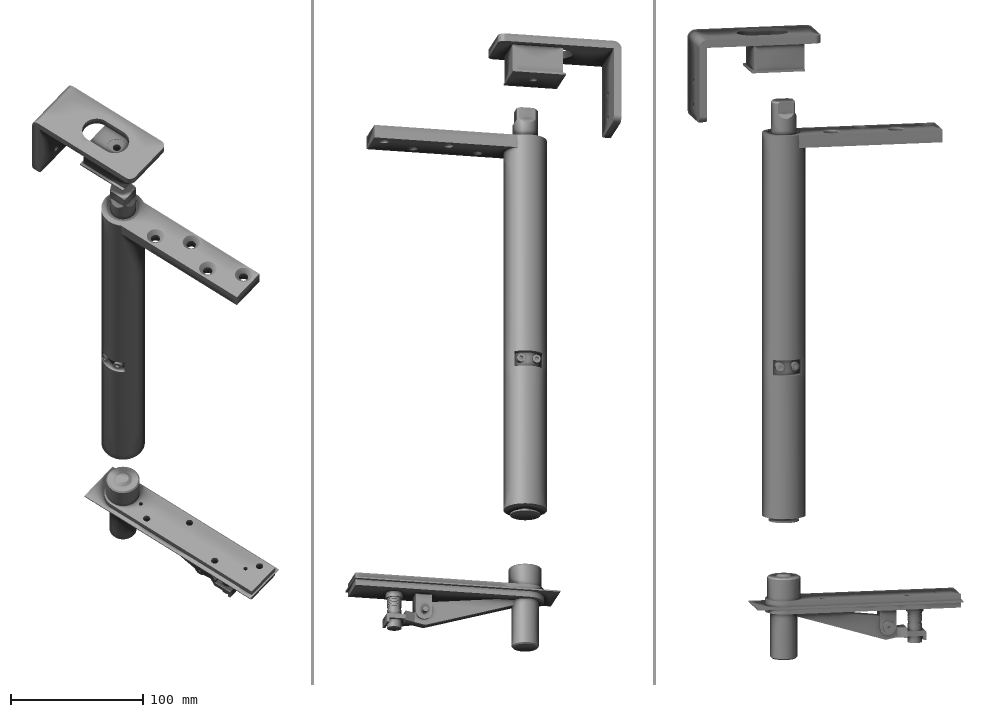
import cadquery as cq


TOP_Z = 482.2
BRACKET_LEFT = -69.8
BRACKET_LENGTH = 94.5
BRACKET_WIDTH = 44.0
BRACKET_DROP = 64.0
BRACKET_THICKNESS = 6.0
BRACKET_CORNER = 5.0
BEND_RADIUS = 6.0
SLOT_WIDTH = 22.0
SLOT_LEFT = -36.2
SLOT_RIGHT = 3.0
BRACKET_HOLE_DIAMETER = 4.5
BRACKET_HOLE_DROPS = (35.5, 54.5)

BLOCK_LEFT = -26.0
BLOCK_RIGHT = 13.0
BLOCK_WIDTH = 30.0
BLOCK_HEIGHT = 22.0
BLOCK_LIP_HEIGHT = 1.5
BLOCK_LIP_OVERHANG = 2.0
BLOCK_SCREW_X = -6.0
BLOCK_SPOTFACE_DIAMETER = 16.0
BLOCK_SPOTFACE_DEPTH = 0.2
BLOCK_HOLE_DIAMETER = 6.1

TUBE_DIAMETER = 33.0
TUBE_BOTTOM = 109.8
TUBE_TOP = 404.7
NECK_DIAMETER = 10.0
NECK_LENGTH = 3.0
DISC_DIAMETER = 23.0
DISC_THICKNESS = 1.0
ARM_END = 119.5
ARM_WIDTH = 28.0
ARM_THICKNESS = 10.0
ARM_HOLE_START = 35.5
ARM_HOLE_PITCH = 25.0
ARM_HOLE_COUNT = 4
ARM_HOLE_OFFSET = 6.0
ARM_HOLE_DIAMETER = 7.0
ARM_COUNTERSINK_DIAMETER = 13.0
COUNTERSINK_ANGLE = 90.0
WINDOW_Z = 226.0
WINDOW_WIDTH = 22.0
WINDOW_HEIGHT = 12.0
WINDOW_FLOOR_DIAMETER = 24.0
VALVE_DIAMETER = 6.17
VALVE_SOCKET_DIAMETER = 3.24
VALVE_SOCKET_DEPTH = 2.0
VALVE_OFFSET = 6.0
VALVE_Z = WINDOW_Z + 0.8
VALVE_FRONT_REACH = 16.0
VALVE_REAR_REACH = 14.0

SPINDLE_DIAMETER = 19.5
SPINDLE_TOP = 429.2
SPINDLE_SEAT_DEPTH = 20.0
SEAT_RIM_DIAMETER = 25.0
SEAT_RIM_DEPTH = 1.0
FLAT_HEIGHT = 9.0
FLAT_RUNOUT = 3.5
FLAT_DISTANCE = 7.5
SPINDLE_CHAMFER = 1.0

PIN_DIAMETER = 20.5
PIN_CHAMFER = 1.0
HEAD_DIAMETER = 25.0
HEAD_TOP = 63.2
HEAD_CHAMFER = 1.0
CONE_BASE_DIAMETER = 13.0
CONE_TOP_DIAMETER = 8.38
CONE_HEIGHT = 1.5
PLATE_BOTTOM = 36.0
PLATE_TOP = 46.0
PLATE_END = 134.0
PLATE_WIDTH = 28.5
COVER_LEFT = -23.5
COVER_RIGHT = 135.2
COVER_WIDTH = 35.0
COVER_THICKNESS = 1.0
PLATE_HOLE_DIAMETER = 5.5
PLATE_HOLE_DEPTH = 8.0
PLATE_HOLES = ((29.0, -8.3), (57.0, 8.3), (94.0, -8.3), (124.0, 8.3))
SMALL_HOLE_DIAMETER = 3.24
SMALL_HOLES_X = (17.0, 117.0)

LEVER_THICKNESS = 8.0
LEVER_PIVOT_X = 79.4
LEVER_PIVOT_Z = 21.7
LEVER_ROOT_X = 22.0
LEVER_ROOT_Z = 35.0
LEVER_SHOULDER_X = 72.8
LEVER_SHOULDER_Z = 30.0
LEVER_LOWEST_X = 78.0
LEVER_LOWEST_Z = 11.4
TAIL_START = 86.5
TAIL_END = 94.0
TAIL_TOP = 20.5
TAIL_BOTTOM = 13.0
EAR_WIDTH = 12.5
EAR_THICKNESS = 2.0
EAR_BEND_RADIUS = 2.5
RIVET_HEAD_DIAMETER = 8.38
RIVET_HEAD_REACH = 8.5
RIVET_SHANK_DIAMETER = 4.13
RIVET_SHANK_REACH = 11.8
RIVET_BORE_DIAMETER = 2.46
RIVET_BORE_DEPTH = 2.0
SCREW_X = 101.2
SCREW_DIAMETER = 11.0
SCREW_BOTTOM = 8.2
SCREW_GROOVE_DIAMETER = 10.0
SCREW_COLLAR_TOP = 22.5
THREAD_BOTTOM = 25.0
THREAD_TOP = 32.0
THREAD_PITCH = 1.4
THREAD_COUNT = 5
SCREW_HEAD_DIAMETER = 13.0
FORK_WIDTH = 16.0
FORK_BOTTOM = 14.0
FORK_TOP = 17.5
FORK_END = 108.4
FORK_LIP_THICKNESS = 2.0
FORK_LIP_BOTTOM = 10.8


def box_between(x0, x1, y0, y1, z0, z1):
    return cq.Workplane("XY").box(x1 - x0, y1 - y0, z1 - z0, centered=False).translate((x0, y0, z0))


def upright_cylinder(diameter, z0, z1, x=0.0, y=0.0):
    return cq.Workplane("XY").circle(diameter / 2).extrude(z1 - z0).translate((x, y, z0))


def make_bracket():
    right = BRACKET_LEFT + BRACKET_LENGTH
    bottom = TOP_Z - BRACKET_DROP
    half = BRACKET_WIDTH / 2
    top_leg = box_between(BRACKET_LEFT, right, -half, half, TOP_Z - BRACKET_THICKNESS, TOP_Z)
    top_leg = top_leg.edges("|Z and >X").fillet(BRACKET_CORNER)
    side_leg = box_between(BRACKET_LEFT, BRACKET_LEFT + BRACKET_THICKNESS, -half, half, bottom, TOP_Z)
    side_leg = side_leg.edges("|X and <Z").fillet(BRACKET_CORNER)
    bracket = top_leg.union(side_leg).edges("|Y and <X and >Z").fillet(BEND_RADIUS)

    slot_center = (SLOT_LEFT + SLOT_RIGHT) / 2
    slot = (
        cq.Workplane("XY", origin=(slot_center, 0, TOP_Z - BRACKET_THICKNESS))
        .slot2D(SLOT_RIGHT - SLOT_LEFT, SLOT_WIDTH)
        .extrude(BRACKET_THICKNESS)
    )
    bracket = bracket.cut(slot)
    for drop in BRACKET_HOLE_DROPS:
        hole = (
            cq.Workplane("YZ", origin=(BRACKET_LEFT, 0, TOP_Z - drop))
            .circle(BRACKET_HOLE_DIAMETER / 2)
            .extrude(BRACKET_THICKNESS)
        )
        bracket = bracket.cut(hole)
    return bracket


def make_block():
    top = TOP_Z - BRACKET_THICKNESS
    bottom = top - BLOCK_HEIGHT
    half = BLOCK_WIDTH / 2
    lip_half = half + BLOCK_LIP_OVERHANG
    block = box_between(BLOCK_LEFT, BLOCK_RIGHT, -half, half, bottom, top)
    lip = box_between(
        BLOCK_LEFT - BLOCK_LIP_OVERHANG, BLOCK_RIGHT, -lip_half, lip_half, bottom, bottom + BLOCK_LIP_HEIGHT
    )
    spotface = upright_cylinder(BLOCK_SPOTFACE_DIAMETER, top - BLOCK_SPOTFACE_DEPTH, top, BLOCK_SCREW_X)
    hole = upright_cylinder(BLOCK_HOLE_DIAMETER, bottom, top, BLOCK_SCREW_X)
    return block.union(lip).cut(spotface).cut(hole)


def make_window(side):
    """Cutter for the window on one side (-1 front, +1 rear), with its two valves left standing."""
    window = cq.Workplane("XY").box(WINDOW_WIDTH, TUBE_DIAMETER, WINDOW_HEIGHT)
    window = window.translate((0, side * TUBE_DIAMETER / 2, WINDOW_Z))
    core = upright_cylinder(WINDOW_FLOOR_DIAMETER, WINDOW_Z - WINDOW_HEIGHT, WINDOW_Z + WINDOW_HEIGHT)
    window = window.cut(core)
    reach = VALVE_FRONT_REACH if side < 0 else VALVE_REAR_REACH
    for x in (-VALVE_OFFSET, VALVE_OFFSET):
        valve = cq.Workplane("XZ", origin=(x, 0, VALVE_Z)).circle(VALVE_DIAMETER / 2).extrude(-side * reach)
        socket = (
            cq.Workplane("XZ", origin=(x, side * reach, VALVE_Z))
            .circle(VALVE_SOCKET_DIAMETER / 2)
            .extrude(side * VALVE_SOCKET_DEPTH)
        )
        window = window.cut(valve.cut(socket))
    return window


def make_tube():
    tube = upright_cylinder(TUBE_DIAMETER, TUBE_BOTTOM, TUBE_TOP)
    arm = box_between(0, ARM_END, -ARM_WIDTH / 2, ARM_WIDTH / 2, TUBE_TOP - ARM_THICKNESS, TUBE_TOP)
    disc_top = TUBE_BOTTOM - NECK_LENGTH
    neck = upright_cylinder(NECK_DIAMETER, disc_top, TUBE_BOTTOM)
    disc = upright_cylinder(DISC_DIAMETER, disc_top - DISC_THICKNESS, disc_top)
    tube = tube.union(arm).union(neck).union(disc)

    arm_holes = [
        (ARM_HOLE_START + i * ARM_HOLE_PITCH, ARM_HOLE_OFFSET * (-1) ** (i + 1))
        for i in range(ARM_HOLE_COUNT)
    ]
    tube = (
        tube.cut(make_window(-1))
        .cut(make_window(1))
        .cut(upright_cylinder(SPINDLE_DIAMETER, TUBE_TOP - SPINDLE_SEAT_DEPTH, TUBE_TOP))
        .cut(upright_cylinder(SEAT_RIM_DIAMETER, TUBE_TOP - SEAT_RIM_DEPTH, TUBE_TOP))
    )
    return (
        tube.copyWorkplane(cq.Workplane("XY", origin=(0, 0, TUBE_TOP)))
        .pushPoints(arm_holes)
        .cskHole(ARM_HOLE_DIAMETER, ARM_COUNTERSINK_DIAMETER, COUNTERSINK_ANGLE, depth=ARM_THICKNESS)
    )


def make_flat_cutter():
    """Cutter for a flat on the +X side of the spindle, running out on a slope."""
    radius = SPINDLE_DIAMETER / 2
    flat_bottom = SPINDLE_TOP - FLAT_HEIGHT
    return (
        cq.Workplane("XZ", origin=(0, radius, 0))
        .moveTo(FLAT_DISTANCE, SPINDLE_TOP)
        .lineTo(FLAT_DISTANCE, flat_bottom)
        .lineTo(radius, flat_bottom - FLAT_RUNOUT)
        .lineTo(radius, SPINDLE_TOP)
        .close()
        .extrude(SPINDLE_DIAMETER)
    )


def make_spindle():
    """Round spindle whose top has driving flats to the front, the rear and +X."""
    spindle = upright_cylinder(SPINDLE_DIAMETER, TUBE_TOP - SPINDLE_SEAT_DEPTH, SPINDLE_TOP)
    spindle = spindle.faces(">Z").chamfer(SPINDLE_CHAMFER)
    for angle in (-90, 0, 90):
        spindle = spindle.cut(make_flat_cutter().rotate((0, 0, 0), (0, 0, 1), angle))
    return spindle


def make_pin():
    pin = upright_cylinder(PIN_DIAMETER, 0, PLATE_BOTTOM).faces("<Z").chamfer(PIN_CHAMFER)
    head = upright_cylinder(HEAD_DIAMETER, PLATE_BOTTOM, HEAD_TOP).faces(">Z").chamfer(HEAD_CHAMFER)
    cone = (
        cq.Workplane("XY", origin=(0, 0, HEAD_TOP))
        .circle(CONE_BASE_DIAMETER / 2)
        .workplane(offset=CONE_HEIGHT)
        .circle(CONE_TOP_DIAMETER / 2)
        .loft()
    )
    return pin.union(head).union(cone)


def make_plate():
    """Thick plate with one round end, and the thin cover flange around its middle."""
    half = PLATE_WIDTH / 2
    plate = box_between(0, PLATE_END, -half, half, PLATE_BOTTOM, PLATE_TOP)
    plate = plate.union(upright_cylinder(PLATE_WIDTH, PLATE_BOTTOM, PLATE_TOP))
    cover_bottom = (PLATE_BOTTOM + PLATE_TOP - COVER_THICKNESS) / 2
    cover_top = cover_bottom + COVER_THICKNESS
    cover_half = COVER_WIDTH / 2
    cover = box_between(COVER_LEFT, COVER_RIGHT, -cover_half, cover_half, cover_bottom, cover_top)
    plate = plate.union(cover)
    hole_bottom = PLATE_TOP - PLATE_HOLE_DEPTH
    for x, y in PLATE_HOLES:
        plate = plate.cut(upright_cylinder(PLATE_HOLE_DIAMETER, hole_bottom, PLATE_TOP, x, y))
    for x in SMALL_HOLES_X:
        plate = plate.cut(upright_cylinder(SMALL_HOLE_DIAMETER, hole_bottom, PLATE_TOP, x))
    return plate


def make_lever():
    """Tapered lever from the pin to the rivet, widening into a lipped fork plate around the screw."""
    lever = (
        cq.Workplane("XZ", origin=(0, LEVER_THICKNESS / 2, 0))
        .moveTo(0, PLATE_BOTTOM)
        .lineTo(LEVER_ROOT_X, PLATE_BOTTOM)
        .lineTo(LEVER_SHOULDER_X, LEVER_SHOULDER_Z)
        .lineTo(TAIL_START, TAIL_TOP)
        .lineTo(TAIL_START, TAIL_BOTTOM)
        .lineTo(LEVER_LOWEST_X, LEVER_LOWEST_Z)
        .lineTo(0, LEVER_ROOT_Z)
        .close()
        .extrude(LEVER_THICKNESS)
    )
    half = FORK_WIDTH / 2
    tail = (
        cq.Workplane("XY", origin=(0, 0, TAIL_BOTTOM))
        .moveTo(TAIL_START, -LEVER_THICKNESS / 2)
        .lineTo(TAIL_END, -half)
        .lineTo(TAIL_END, half)
        .lineTo(TAIL_START, LEVER_THICKNESS / 2)
        .close()
        .extrude(TAIL_TOP - TAIL_BOTTOM)
    )
    fork = box_between(TAIL_END, FORK_END, -half, half, FORK_BOTTOM, FORK_TOP)
    lip = box_between(FORK_END - FORK_LIP_THICKNESS, FORK_END, -half, half, FORK_LIP_BOTTOM, FORK_TOP)
    return lever.union(tail).union(fork).union(lip)


def make_ears():
    """Folded hanger whose two ears straddle the lever and carry its rivet."""
    outer = LEVER_THICKNESS / 2 + EAR_THICKNESS
    left = LEVER_PIVOT_X - EAR_WIDTH / 2
    ears = box_between(left, left + EAR_WIDTH, -outer, outer, LEVER_PIVOT_Z, PLATE_BOTTOM)
    ears = ears.edges("|X and >Z").fillet(EAR_BEND_RADIUS)
    ears = ears.union(rivet_cylinder(EAR_WIDTH, -outer, outer))
    head = rivet_cylinder(RIVET_HEAD_DIAMETER, -RIVET_HEAD_REACH, 0)
    shank = rivet_cylinder(RIVET_SHANK_DIAMETER, 0, RIVET_SHANK_REACH)
    bore = rivet_cylinder(RIVET_BORE_DIAMETER, -RIVET_HEAD_REACH, RIVET_BORE_DEPTH - RIVET_HEAD_REACH)
    return ears.union(head).union(shank).cut(bore)


def rivet_cylinder(diameter, y0, y1):
    """Cylinder on the lever's pivot axis, which runs along Y."""
    pivot = cq.Workplane("XZ", origin=(LEVER_PIVOT_X, y0, LEVER_PIVOT_Z))
    return pivot.circle(diameter / 2).extrude(y0 - y1)


def make_screw():
    """Adjusting screw with ring ridges for its thread, hanging from the plate."""
    screw = upright_cylinder(SCREW_GROOVE_DIAMETER, SCREW_BOTTOM, PLATE_BOTTOM, SCREW_X)
    screw = screw.union(upright_cylinder(SCREW_DIAMETER, SCREW_BOTTOM, SCREW_COLLAR_TOP, SCREW_X))
    screw = screw.union(upright_cylinder(SCREW_HEAD_DIAMETER, THREAD_TOP, PLATE_BOTTOM, SCREW_X))
    for i in range(THREAD_COUNT):
        ridge_bottom = THREAD_BOTTOM + i * THREAD_PITCH
        ridge = upright_cylinder(SCREW_DIAMETER, ridge_bottom, ridge_bottom + THREAD_PITCH / 2, SCREW_X)
        screw = screw.union(ridge)
    return screw


def make_bottom_pivot():
    return make_plate().union(make_pin()).union(make_lever()).union(make_ears()).union(make_screw())


bracket = make_bracket()
block = make_block()
tube = make_tube()
spindle = make_spindle()
bottom_pivot = make_bottom_pivot()

result = cq.Compound.makeCompound([bracket.val(), block.val(), tube.val(), spindle.val(), bottom_pivot.val()])